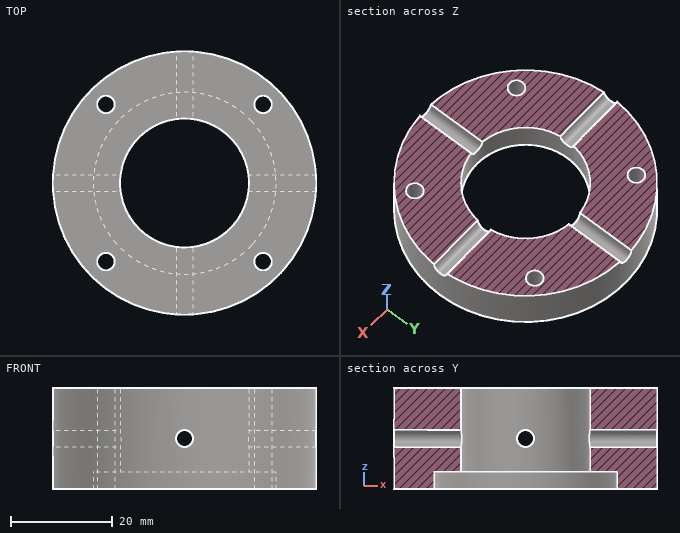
import cadquery as cq

outer_diameter = 52.0
bore_diameter = 25.4
height = 20.0

counterbore_diameter = 36.0
counterbore_depth = 3.4

axial_hole_diameter = 3.4
axial_hole_spacing = 31.0

radial_hole_diameter = 3.3
radial_hole_height = height / 2


def make_ring():
    """Plain ring standing on the XY plane."""
    return (
        cq.Workplane("XY")
        .circle(outer_diameter / 2)
        .circle(bore_diameter / 2)
        .extrude(height)
    )


def make_counterbore():
    """Shallow disc cutter that widens the bore at the bottom face."""
    return cq.Workplane("XY").circle(counterbore_diameter / 2).extrude(counterbore_depth)


def make_axial_holes():
    """Four vertical cutters at the corners of a square."""
    return (
        cq.Workplane("XY")
        .rect(axial_hole_spacing, axial_hole_spacing, forConstruction=True)
        .vertices()
        .circle(axial_hole_diameter / 2)
        .extrude(height)
    )


def make_radial_hole(plane_name):
    """Horizontal cutter through the full diameter, normal to the named plane."""
    return (
        cq.Workplane(plane_name)
        .center(0, radial_hole_height)
        .circle(radial_hole_diameter / 2)
        .extrude(outer_diameter / 2, both=True)
    )


result = make_ring().cut(make_counterbore()).cut(make_axial_holes())
for plane_name in ("XZ", "YZ"):
    result = result.cut(make_radial_hole(plane_name))